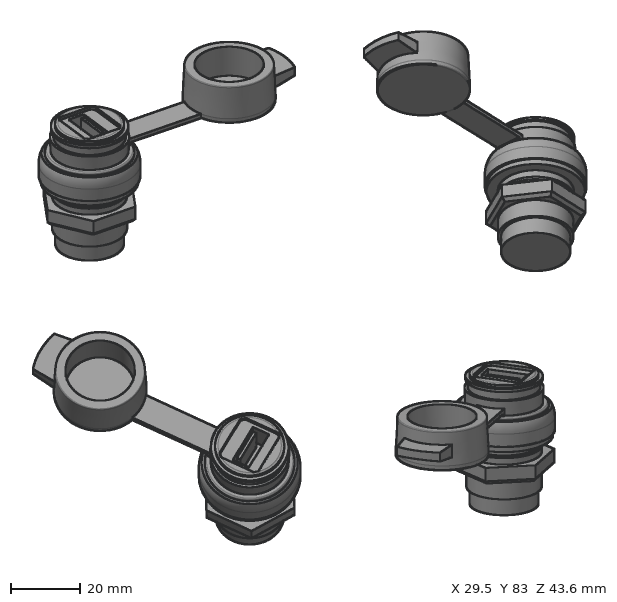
import cadquery as cq


spigot_radius = 20.0 / 2
thread_radius = 21.8 / 2
runout_radius = 20.7 / 2
shoulder_radius = 22.0 / 2
flange_radius = 29.5 / 2
flange_shoulder_radius = 13.9
flange_top_radius = 13.4
rim_radius = 12.95
rim_round = 0.5
neck_radius = 21.0 / 2
lip_radius = 11.2
mouth_radius = spigot_radius
mouth_top_radius = 9.1

spigot_top = 5.2
thread_top = 17.9
runout_top = 18.75
flange_bottom = 22.75
flange_round_start = 26.7
flange_shoulder = 30.1
flange_top = 30.2
rim_top = 31.1
lip_bottom = 38.35
lip_top = 39.3
housing_top = 40.25
mouth_chamfer_height = 0.25

gasket_radius = 28.4 / 2
gasket_bottom = 21.0

nut_across_flats = 25.4
nut_bottom = 10.7
nut_top = 15.9
nut_chamfer = 1.1

insert_width = 14.85
insert_length = 12.7
insert_offset_y = 0.1
insert_corner_radius = 9.05
insert_height = 10.0
insert_recess = 0.9
insert_top = housing_top - insert_recess
port_width = 12.4
port_length = 5.2
port_offset_y = -0.4
port_depth = 8.3
tongue_width = 9.9
tongue_thickness = 1.1
tongue_offset_y = 1.0
tongue_recess = 0.2

collar_bottom_radius = 11.3
collar_top_radius = 11.45
collar_top = 35.7
strap_width = 8.5
strap_top = 33.3
strap_root_bottom = 31.95
strap_root_flare = 0.7

cap_center_y = 48.8
cap_bottom = 31.8
cap_top = 43.6
cap_base_radius = 13.45
cap_top_radius = 12.95
cap_edge_round = 0.25
cap_bore_radius = 20.0 / 2
cap_floor = 2.1

tab_tip_y = 83 - flange_radius
tab_corner_y = tab_tip_y - 1.0
tab_root_y = 59.85
tab_tip_half_width = 6.6
tab_root_half_width = 7.4
tab_top = 39.7
tab_tip_bottom = 37.1
tab_root_bottom = 35.8


def cylinder(radius, bottom, top):
    """Solid cylinder on the Z axis between two heights."""
    return cq.Workplane("XY").workplane(offset=bottom).circle(radius).extrude(top - bottom)


def box_down(width, length, center_y, top, depth):
    """Rectangular block hanging down from a given height."""
    plane = cq.Workplane("XY").workplane(offset=top).center(0, center_y)
    return plane.rect(width, length).extrude(-depth)


def make_insert_block(top):
    """Rectangular block with corners rounded by a circle, from the insert bottom to a height."""
    depth = top - insert_top + insert_height
    block = box_down(insert_width, insert_length, insert_offset_y, top, depth)
    return block.intersect(cylinder(insert_corner_radius, top - depth, top))


def make_housing():
    """Turned housing with a pocket for the insert in its top face."""
    profile = (
        cq.Workplane("XZ")
        .lineTo(spigot_radius, 0)
        .lineTo(spigot_radius, spigot_top)
        .lineTo(thread_radius, spigot_top)
        .lineTo(thread_radius, thread_top)
        .lineTo(runout_radius, thread_top)
        .lineTo(shoulder_radius, runout_top)
        .lineTo(shoulder_radius, flange_bottom)
        .lineTo(flange_radius, flange_bottom)
        .lineTo(flange_radius, flange_round_start)
        .tangentArcPoint((flange_shoulder_radius, flange_shoulder), relative=False)
        .lineTo(flange_top_radius, flange_top)
        .lineTo(rim_radius, flange_top)
        .lineTo(rim_radius, rim_top - rim_round)
        .tangentArcPoint((rim_radius - rim_round, rim_top), relative=False)
        .lineTo(neck_radius, rim_top)
        .lineTo(neck_radius, lip_bottom)
        .lineTo(lip_radius, lip_bottom)
        .lineTo(lip_radius, lip_top)
        .lineTo(mouth_radius, lip_top)
        .lineTo(mouth_radius, housing_top - mouth_chamfer_height)
        .lineTo(mouth_top_radius, housing_top)
        .lineTo(0, housing_top)
        .close()
    )
    return profile.revolve(360, (0, 0), (0, 1)).cut(make_insert_block(housing_top))


def make_gasket():
    """Flat ring around the shoulder, against the underside of the flange."""
    ring = cylinder(gasket_radius, gasket_bottom, flange_bottom)
    return ring.cut(cylinder(shoulder_radius, gasket_bottom, flange_bottom))


def make_nut():
    """Hexagonal nut with two flats facing X and a chamfered bottom edge."""
    flats = cq.Workplane("XY").workplane(offset=nut_bottom)
    hexagon = flats.polygon(6, nut_across_flats, circumscribed=True).extrude(nut_top - nut_bottom)
    hexagon = hexagon.faces("<Z").chamfer(nut_chamfer)
    return hexagon.cut(cylinder(thread_radius, nut_bottom, nut_top))


def make_insert():
    """USB receptacle block with its port and the contact tongue inside the port."""
    port = box_down(port_width, port_length, port_offset_y, insert_top, port_depth)
    tongue_top = insert_top - tongue_recess
    tongue_depth = port_depth - tongue_recess
    tongue = box_down(tongue_width, tongue_thickness, tongue_offset_y, tongue_top, tongue_depth)
    return make_insert_block(insert_top).cut(port).union(tongue)


def make_collar():
    """Slightly tapered collar around the housing neck, before boring."""
    return (
        cq.Workplane("XZ")
        .moveTo(0, rim_top)
        .lineTo(collar_bottom_radius, rim_top)
        .lineTo(collar_top_radius, collar_top)
        .lineTo(0, collar_top)
        .close()
        .revolve(360, (0, 0), (0, 1))
    )


def make_strap():
    """Flat strap from the collar to the cap, flaring down to the foot of the collar."""
    return (
        cq.Workplane("YZ")
        .moveTo(0, rim_top)
        .lineTo(collar_bottom_radius, rim_top)
        .lineTo(collar_bottom_radius + strap_root_flare, strap_root_bottom)
        .lineTo(cap_center_y - cap_bore_radius, cap_bottom)
        .lineTo(cap_center_y - cap_bore_radius, strap_top)
        .lineTo(0, strap_top)
        .close()
        .extrude(strap_width / 2, both=True)
    )


def make_cap_shell():
    """Tapered cap body on the Z axis, standing on a straight base disc."""
    return (
        cq.Workplane("XZ")
        .moveTo(0, cap_bottom)
        .lineTo(cap_base_radius, cap_bottom)
        .lineTo(cap_base_radius, strap_top)
        .lineTo(cap_top_radius, cap_top)
        .lineTo(0, cap_top)
        .close()
        .revolve(360, (0, 0), (0, 1))
        .faces("<Z or >Z")
        .edges()
        .fillet(cap_edge_round)
        .translate((0, cap_center_y, 0))
    )


def make_tab():
    """Pull tab with a curved tip, flared sides and an underside sloping up to the tip."""
    outline = (
        cq.Workplane("XY")
        .workplane(offset=tab_root_bottom)
        .moveTo(0, cap_center_y)
        .lineTo(tab_root_half_width, cap_center_y)
        .lineTo(tab_root_half_width, tab_root_y)
        .lineTo(tab_tip_half_width, tab_corner_y)
        .threePointArc((0, tab_tip_y), (-tab_tip_half_width, tab_corner_y))
        .lineTo(-tab_root_half_width, tab_root_y)
        .lineTo(-tab_root_half_width, cap_center_y)
        .close()
        .extrude(tab_top - tab_root_bottom)
    )
    side = (
        cq.Workplane("YZ")
        .moveTo(cap_center_y, tab_root_bottom)
        .lineTo(tab_root_y, tab_root_bottom)
        .lineTo(tab_tip_y, tab_tip_bottom)
        .lineTo(tab_tip_y, tab_top)
        .lineTo(cap_center_y, tab_top)
        .close()
        .extrude(tab_root_half_width, both=True)
    )
    return outline.intersect(side)


def make_tethered_cap():
    """Cap, tab, strap and collar moulded in one piece."""
    cap_bore = cylinder(cap_bore_radius, cap_bottom + cap_floor, cap_top)
    cap_bore = cap_bore.translate((0, cap_center_y, 0))
    collar_bore = cylinder(neck_radius, rim_top, collar_top)
    moulding = make_cap_shell().union(make_tab()).union(make_strap()).union(make_collar())
    return moulding.cut(cap_bore).cut(collar_bore)


housing = make_housing()
gasket = make_gasket()
nut = make_nut()
usb_insert = make_insert()
tethered_cap = make_tethered_cap()

result = cq.Compound.makeCompound([
    housing.val(),
    gasket.val(),
    nut.val(),
    usb_insert.val(),
    tethered_cap.val(),
])